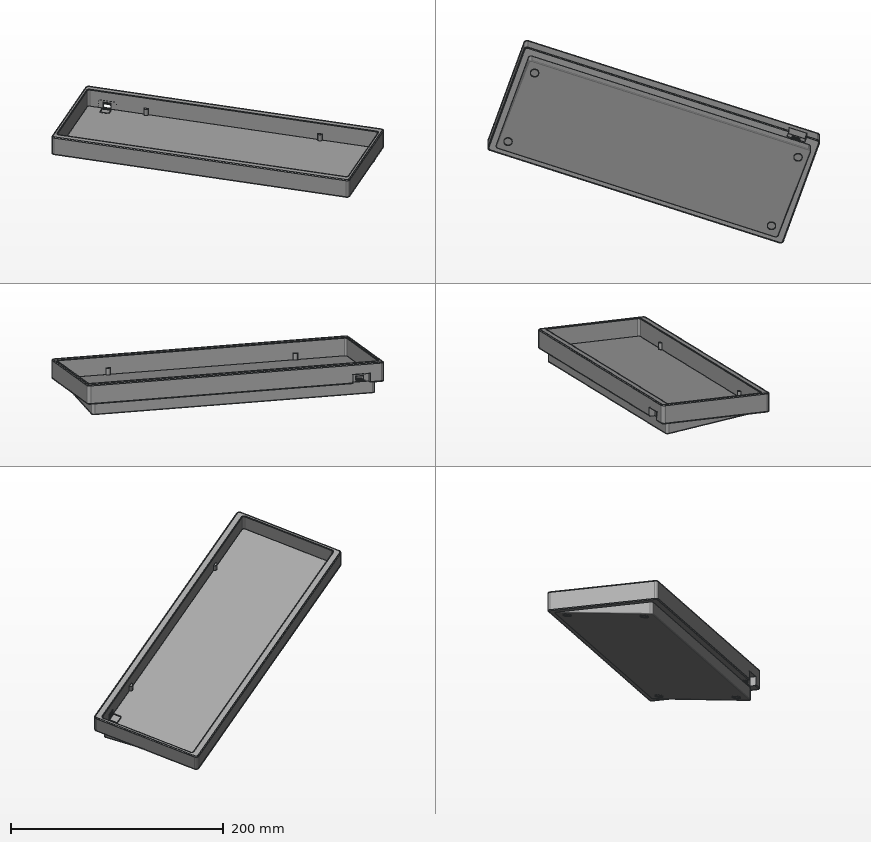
import cadquery as cq
import math

length = 293.7
width = 110.0
total_height = 30.8
body_height = 18.8
corner_radius = 3.0
edge_chamfer = 1.0

end_wall = 3.5
side_wall = 7.0
floor_thickness = 1.2
cavity_corner_radius = 2.0
rim_chamfer = 0.5
cavity_length = length - 2 * end_wall
cavity_width = width - 2 * side_wall
wall_y = cavity_width / 2

wedge_length = 280.5
wedge_angle = math.radians(7.0)
wedge_corner_radius = 2.5
wedge_edge_round = 0.5
rounding_lift = wedge_edge_round * (math.tan(wedge_angle) + 1 / math.cos(wedge_angle) - 1)
wedge_drop = total_height - body_height + rounding_lift
wedge_run = wedge_drop / math.tan(wedge_angle)

pad_diameter = 8.0
pad_depth = 1.0
pad_x = 131.0
pad_back_inset = 11.7
pad_front_inset = 89.3

post_radius = 2.2
post_reach = 2.3
post_height = 6.5
back_post_x = 85.8
front_post_x = 92.8

port_x = -124.5
pocket_width = 8.8
pocket_reach = 8.5
pocket_bite = 0.3
pocket_drop = 1.0
pocket_height = 7.0
pocket_corner_radius = 1.2
web_thickness = 1.0
opening_side_margin = 0.5
opening_sill = 1.2
opening_height = 4.0
opening_round = 1.2
notch_width = 17.5
notch_height = 8.8


def tray():
    body = cq.Workplane("XY").box(length, width, body_height, centered=(True, True, False))
    body = body.edges("|Z").fillet(corner_radius)
    body = body.faces("<Z or >Z").edges().chamfer(edge_chamfer)
    cavity = (
        cq.Workplane("XY")
        .workplane(offset=floor_thickness)
        .rect(cavity_length, cavity_width)
        .extrude(body_height)
        .edges("|Z")
        .fillet(cavity_corner_radius)
    )
    hollow = body.cut(cavity)
    inner_rim = hollow.faces(">Z").objects[0].innerWires()
    return hollow.newObject(inner_rim[0].Edges()).chamfer(rim_chamfer)


def wedge_foot():
    front_y = wall_y - wedge_run
    profile = [
        (wall_y, floor_thickness),
        (wall_y, -wedge_drop),
        (front_y, 0),
        (front_y, floor_thickness),
    ]
    foot = cq.Workplane("YZ").polyline(profile).close().extrude(wedge_length / 2, both=True)
    foot = foot.edges("|Z").fillet(wedge_corner_radius)
    return foot.faces("<Z").edges().fillet(wedge_edge_round)


def pad_recesses():
    underside = cq.Plane(
        origin=(0, wall_y, -wedge_drop),
        xDir=(1, 0, 0),
        normal=(0, math.sin(wedge_angle), math.cos(wedge_angle)),
    )
    centers = []
    for side in (-1, 1):
        centers.append((side * pad_x, -pad_back_inset))
        centers.append((side * pad_x, -pad_front_inset))
    return cq.Workplane(underside).pushPoints(centers).circle(pad_diameter / 2).extrude(pad_depth)


def support_post(x, side):
    """Post at x; side is 1 for the back wall and -1 for the front wall."""
    nose_y = post_reach - post_radius
    root_y = -post_radius
    post = (
        cq.Workplane("XY")
        .moveTo(-post_radius, root_y)
        .lineTo(-post_radius, nose_y)
        .threePointArc((0, post_reach), (post_radius, nose_y))
        .lineTo(post_radius, root_y)
        .close()
        .extrude(post_height)
    )
    if side > 0:
        post = post.mirror("XZ")
    return post.translate((x, side * wall_y, floor_thickness))


def port_block(size_x, size_y, size_z):
    return cq.Workplane("XY").box(size_x, size_y, size_z, centered=(True, False, False))


def cable_port():
    pocket_floor = floor_thickness - pocket_drop
    pocket = (
        port_block(pocket_width, pocket_reach + pocket_bite, pocket_height)
        .edges("|Z")
        .fillet(pocket_corner_radius)
        .translate((port_x, wall_y - pocket_reach, pocket_floor))
    )
    opening = (
        port_block(pocket_width - 2 * opening_side_margin, side_wall, opening_height)
        .edges("|Y")
        .fillet(opening_round)
        .translate((port_x, wall_y, pocket_floor + opening_sill))
    )
    notch_y = wall_y + pocket_bite + web_thickness
    notch = port_block(notch_width, side_wall, notch_height).translate((port_x, notch_y, 0))
    return pocket.union(opening).union(notch)


result = tray().union(wedge_foot())
for end in (-1, 1):
    result = result.union(support_post(end * back_post_x, 1))
    result = result.union(support_post(end * front_post_x, -1))
result = result.cut(cable_port()).cut(pad_recesses())